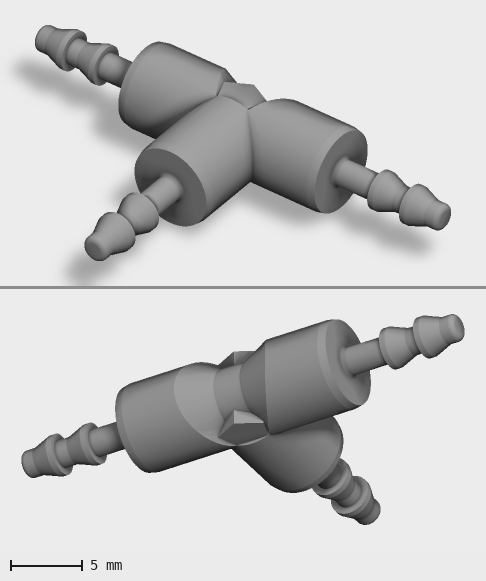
import cadquery as cq
import math

arm_length = 17.5

body_radius = 3.25
body_length = 8.5
body_taper_length = 0.6
body_taper_depth = 0.13

pipe_radius = 1.0
root_fillet = 0.25
tip_fillet = 0.4
barb_radius = 1.5
barb_pitch = 2.75
barb_land = 0.45
barb_length = 1.8
first_barb = 11.87
barb_count = 2

hub_half_height = 3.0
hub_front_half_width = math.sqrt(body_radius**2 - hub_half_height**2)
hub_front = -hub_front_half_width
hub_shoulder_half_width = 1.85
hub_shoulder_y = 0.3
hub_peak_y = 1.27

waist_radius = 2.25
waist_half_length = 1.05
sleeve_cut_x = 2.05
sleeve_cut_slope = 2.0


def make_arm(start):
    """Revolve one arm about +X, from a flat inner face at x = start."""
    profile = (
        cq.Workplane("XY")
        .moveTo(start, 0)
        .lineTo(start, body_radius)
        .lineTo(body_length - body_taper_length, body_radius)
        .lineTo(body_length, body_radius - body_taper_depth)
        .lineTo(body_length, pipe_radius + root_fillet)
        .radiusArc((body_length + root_fillet, pipe_radius), -root_fillet)
    )
    for i in range(barb_count):
        back = first_barb + i * barb_pitch
        profile = (
            profile.lineTo(back, pipe_radius)
            .lineTo(back, barb_radius)
            .lineTo(back + barb_land, barb_radius)
            .lineTo(back + barb_length, pipe_radius)
        )
    profile = (
        profile.lineTo(arm_length - tip_fillet, pipe_radius)
        .radiusArc((arm_length, pipe_radius - tip_fillet), tip_fillet)
        .lineTo(arm_length, 0)
        .close()
    )
    return profile.revolve(360, (0, 0, 0), (1, 0, 0))


def make_side_arm():
    """Arm along +X, its inner end trimmed by the oblique plane."""
    reach = 2 * body_radius
    shift = reach / sleeve_cut_slope
    keep = (
        cq.Workplane("XY")
        .polyline([
            (sleeve_cut_x - shift, -reach),
            (arm_length, -reach),
            (arm_length, reach),
            (sleeve_cut_x + shift, reach),
        ])
        .close()
        .extrude(body_radius, both=True)
    )
    return make_arm(0).intersect(keep)


def section_wire(centre_x, radius, slope_run):
    """Section of an X cylinder by a plane leaning slope_run in X per unit Y, closed at the hub front."""
    stretch = math.hypot(1, slope_run)
    end_angle = math.degrees(math.acos(hub_front / radius))
    arc = cq.Edge.makeEllipse(
        radius * stretch,
        radius,
        cq.Vector(centre_x, 0, 0),
        cq.Vector(1, -slope_run, 0),
        cq.Vector(slope_run, 1, 0),
        -end_angle,
        end_angle,
    )
    chord = cq.Edge.makeLine(arc.endPoint(), arc.startPoint())
    return cq.Wire.assembleEdges([arc, chord])


def make_shoulder():
    """Tapered transition from the oblique end of the +X sleeve down to the waist."""
    sleeve_end = section_wire(sleeve_cut_x, body_radius, 1 / sleeve_cut_slope)
    waist_end = section_wire(waist_half_length, waist_radius, 0)
    return cq.Workplane(obj=cq.Solid.makeLoft([waist_end, sleeve_end], True))


def make_hub():
    """Waist cylinder with a pentagonal block flat on top and bottom."""
    waist = (
        cq.Workplane("YZ")
        .circle(waist_radius)
        .extrude(waist_half_length, both=True)
    )
    block = (
        cq.Workplane("XY")
        .polyline([
            (-hub_front_half_width, hub_front),
            (hub_front_half_width, hub_front),
            (hub_shoulder_half_width, hub_shoulder_y),
            (0, hub_peak_y),
            (-hub_shoulder_half_width, hub_shoulder_y),
        ])
        .close()
        .extrude(hub_half_height, both=True)
    )
    return waist.union(block)


right_half = make_side_arm().union(make_shoulder())
front_arm = make_arm(-hub_front).rotate((0, 0, 0), (0, 0, 1), -90)
result = (
    make_hub()
    .union(front_arm)
    .union(right_half)
    .union(right_half.mirror("YZ"))
)